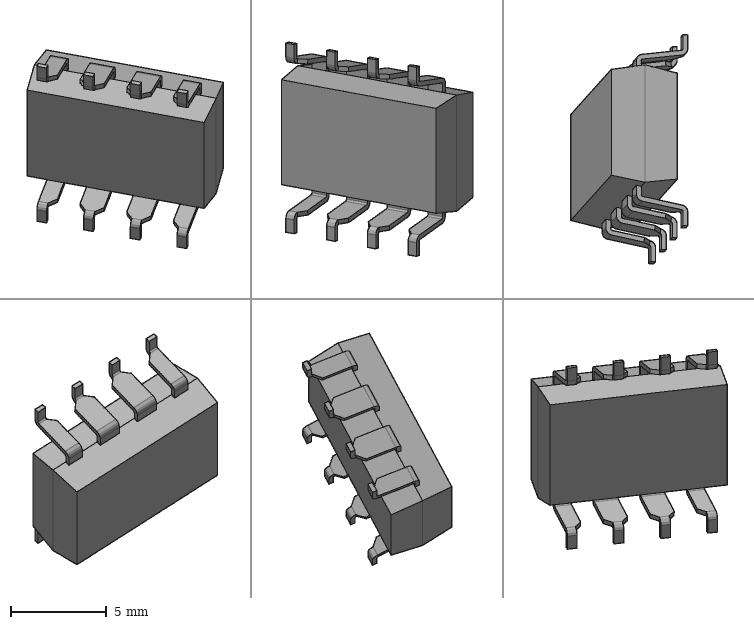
import cadquery as cq
import math

body_length = 9.91
body_height = 6.33
body_half_depth = 1.77
end_taper = 0.13
side_taper = 0.31

lead_columns = 4
lead_pitch = 2.54
lead_thickness = 0.26
lead_width = 1.31
foot_width = 0.53
lead_reach = 2.49
lead_tip_height = 5.15
bend_inner_radius = 0.1
bend_outer_radius = bend_inner_radius + lead_thickness
lower_bend_height = 3.6
arm_tilt = 9.2
shoulder_start = 1.77

tilt = math.radians(arm_tilt)
lower_bend = (-bend_inner_radius, lower_bend_height)
upper_bend_y = bend_outer_radius - lead_reach
bend_offset = bend_inner_radius + bend_outer_radius
bend_span = lower_bend[0] - upper_bend_y
bend_rise = (bend_offset + bend_span * math.sin(tilt)) / math.cos(tilt)
upper_bend = (upper_bend_y, lower_bend_height + bend_rise)


def make_housing():
    """Body widest at the parting plane, tapering to flat faces at front and back."""
    def half(direction):
        return (
            cq.Workplane("XZ")
            .rect(body_length, body_height)
            .workplane(offset=direction * body_half_depth)
            .rect(body_length - 2 * end_taper, body_height - 2 * side_taper)
            .loft(ruled=True, combine=True)
        )

    return half(1).union(half(-1))


def on_circle(center, radius, angle):
    """Point (Y, Z) on a circle; the angle in degrees runs from +Y toward +Z."""
    turn = math.radians(angle)
    return (center[0] + radius * math.cos(turn), center[1] + radius * math.sin(turn))


def make_side_profile():
    """Bent strip of an upper lead, rooted on the sloping top side of the housing."""
    arm_normal = 90 - arm_tilt
    half_turn = arm_normal / 2
    root_height = body_height / 2
    root_drop = lead_thickness * side_taper / body_half_depth
    return (
        cq.Workplane("YZ")
        .moveTo(0, root_height)
        .lineTo(*on_circle(lower_bend, bend_inner_radius, 0))
        .threePointArc(
            on_circle(lower_bend, bend_inner_radius, half_turn),
            on_circle(lower_bend, bend_inner_radius, arm_normal),
        )
        .lineTo(*on_circle(upper_bend, bend_outer_radius, 180 + arm_normal))
        .threePointArc(
            on_circle(upper_bend, bend_outer_radius, 180 + half_turn),
            on_circle(upper_bend, bend_outer_radius, 180),
        )
        .lineTo(-lead_reach, lead_tip_height)
        .lineTo(-lead_reach + lead_thickness, lead_tip_height)
        .lineTo(*on_circle(upper_bend, bend_inner_radius, 180))
        .threePointArc(
            on_circle(upper_bend, bend_inner_radius, 180 + half_turn),
            on_circle(upper_bend, bend_inner_radius, 180 + arm_normal),
        )
        .lineTo(*on_circle(lower_bend, bend_outer_radius, arm_normal))
        .threePointArc(
            on_circle(lower_bend, bend_outer_radius, half_turn),
            on_circle(lower_bend, bend_outer_radius, 0),
        )
        .lineTo(lead_thickness, root_height - root_drop)
        .close()
        .extrude(lead_width / 2, both=True)
    )


def make_planform(left_width, right_width):
    """Outline square to the arm: a wide strip with 45 degree shoulders down to the foot."""
    foot_half = foot_width / 2
    shoulder_run = (lead_width - foot_width) / 2
    clearance = lead_tip_height
    arm_top_rise = (shoulder_start + lower_bend[0]) * math.tan(tilt)
    arm_top_height = lower_bend_height + bend_outer_radius / math.cos(tilt) + arm_top_rise
    arm_plane = cq.Plane(
        origin=(0, -shoulder_start, arm_top_height),
        xDir=(1, 0, 0),
        normal=(0, math.sin(tilt), math.cos(tilt)),
    )
    outline = [
        (-left_width, clearance),
        (-left_width, 0),
        (-foot_half, -shoulder_run),
        (-foot_half, -clearance),
        (foot_half, -clearance),
        (foot_half, -shoulder_run),
        (right_width, 0),
        (right_width, clearance),
    ]
    return cq.Workplane(arm_plane).polyline(outline).close().extrude(clearance, both=True)


def make_upper_lead(column):
    """End leads lose the half shoulder that would face outward."""
    left_width = foot_width / 2 if column == 0 else lead_width / 2
    right_width = foot_width / 2 if column == lead_columns - 1 else lead_width / 2
    lead_x = (column - (lead_columns - 1) / 2) * lead_pitch
    lead = make_side_profile().intersect(make_planform(left_width, right_width))
    return lead.translate((lead_x, 0, 0))


housing = make_housing().solids().val()
leads = []
for column in range(lead_columns):
    upper_lead = make_upper_lead(column).solids()
    leads.append(upper_lead.val())
    leads.append(upper_lead.mirror("XY").val())

result = cq.Compound.makeCompound([housing, *leads])